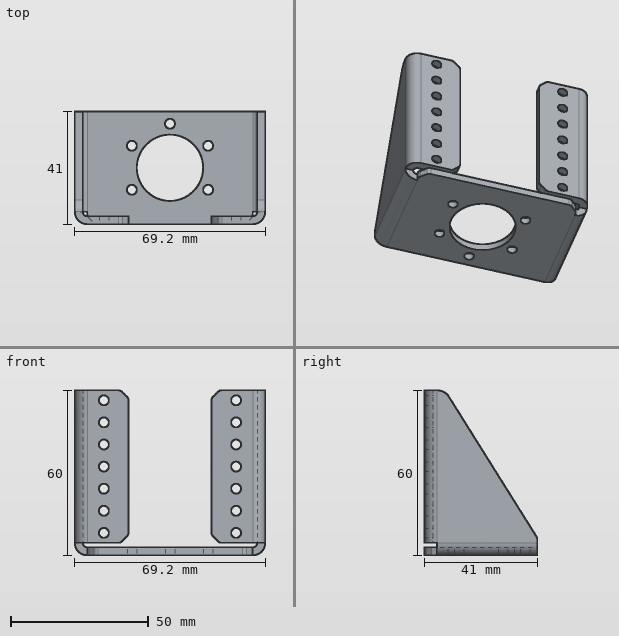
import cadquery as cq
import math

width = 69.2
depth = 41.0
height = 60.0

sheet = 3.0
inner_bend = 1.5
outer_bend = sheet + inner_bend
half_width = width / 2
half_floor = half_width - outer_bend

corner_clip = 3.0
corner_round = 2.0

wall_rear_height = 6.3
wall_top_length = 2.9
wall_top_round = 5.0

flange_inner_x = 15.0
flange_hole_x = 24.0
flange_hole_count = 7
flange_hole_pitch = 8.0
flange_hole_mid_z = (outer_bend + height) / 2

screw_hole = 3.5
bore = 24.0
bore_y = depth / 2
bolt_circle_radius = 16.0
first_bolt_angle = -30
bolt_step_angle = 60
bolt_count = 5


def clip_corners(plate, corners, clip_ends):
    """Cut the corner edges at 45 degrees, then round the edges at the ends of each cut."""
    clipped = plate.edges(corners).chamfer(corner_clip)
    return clipped.edges(clip_ends).fillet(corner_round)


def make_floor():
    """Flat floor between the two side bends, with the bore and its bolt holes."""
    plate = cq.Workplane("XY").box(2 * half_floor, depth, sheet, centered=(True, False, False))
    plate = clip_corners(plate, "|Z and <Y", "|Z and (not >Y)")

    bolt_angles = [math.radians(first_bolt_angle + i * bolt_step_angle) for i in range(bolt_count)]
    bolts = [(bolt_circle_radius * math.cos(a), bolt_circle_radius * math.sin(a)) for a in bolt_angles]
    bore_center = cq.Workplane("XY", origin=(0, bore_y, 0))
    bore_cutter = bore_center.circle(bore / 2).extrude(sheet)
    bolt_cutter = bore_center.pushPoints(bolts).circle(screw_hole / 2).extrude(sheet)
    return plate.cut(bore_cutter).cut(bolt_cutter)


def make_bend(plane, length):
    """Quarter-round bend in the plane, turning from its local X to its local Y direction."""
    return (
        cq.Workplane(plane)
        .moveTo(half_floor, 0)
        .radiusArc((half_width, outer_bend), -outer_bend)
        .lineTo(half_width - sheet, outer_bend)
        .radiusArc((half_floor, sheet), inner_bend)
        .close()
        .extrude(length)
    )


def make_wall():
    """Right side wall with a sloping rear edge and rounded ends to the slope."""
    wall = (
        cq.Workplane("YZ", origin=(half_width - sheet, 0, 0))
        .moveTo(outer_bend, outer_bend)
        .lineTo(depth, outer_bend)
        .lineTo(depth, wall_rear_height)
        .lineTo(outer_bend + wall_top_length, height)
        .lineTo(outer_bend, height)
        .close()
        .extrude(sheet)
    )
    mid_x = half_width - sheet / 2
    top_corner = (mid_x, outer_bend + wall_top_length, height)
    rear_corner = (mid_x, depth, wall_rear_height)
    wall = wall.edges(cq.selectors.NearestToPointSelector(top_corner)).fillet(wall_top_round)
    return wall.edges(cq.selectors.NearestToPointSelector(rear_corner)).fillet(corner_round)


def make_flange():
    """Right front flange with clipped inner corners and a column of holes."""
    plate = (
        cq.Workplane("XY", origin=(flange_inner_x, 0, outer_bend))
        .box(half_floor - flange_inner_x, sheet, height - outer_bend, centered=False)
    )
    plate = clip_corners(plate, "|Y and <X", "|Y and (not >X)")
    hole_cutter = (
        cq.Workplane("XZ", origin=(flange_hole_x, 0, flange_hole_mid_z))
        .rarray(0.7, flange_hole_pitch, 1, flange_hole_count)
        .circle(screw_hole / 2)
        .extrude(-sheet)
    )
    return plate.cut(hole_cutter)


floor_bend = make_bend(cq.Plane.XZ((0, outer_bend, 0)), outer_bend - depth)
flange_bend = make_bend(cq.Plane.XY((0, 0, outer_bend)), height - outer_bend)
right_side = make_wall().union(floor_bend).union(flange_bend).union(make_flange())

result = make_floor().union(right_side).union(right_side.mirror("YZ"))